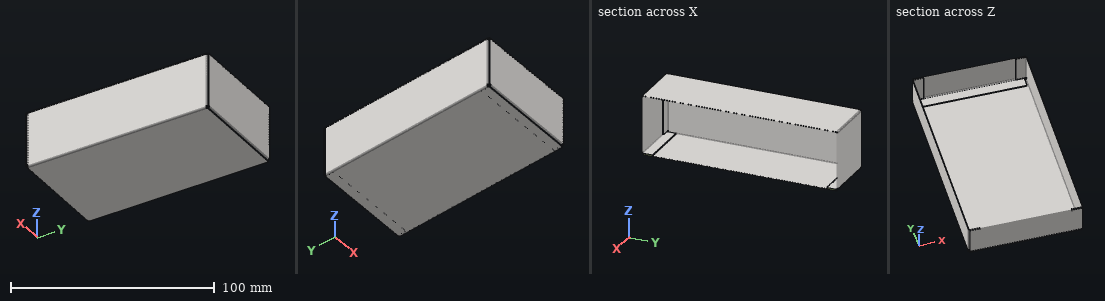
import cadquery as cq

width = 58.6
length = 105.6
height = 32.2

sheet = 0.58
bend_radius = 0.6
inner_radius = bend_radius - sheet

fold_reach = 5.3
clearance = 0.16
tab_top_gap = 1.0
lower_corner_gap = sheet + clearance + bend_radius

tab_setback = sheet + clearance
wall_setback = tab_setback + bend_radius


def box(x_size, y_size, z_size):
    return cq.Workplane("XY").box(x_size, y_size, z_size)


def sleeve(x_size, y_size, z_size, axis):
    """Open-ended rectangular tube along one axis, with bent sheet at its four corners."""
    sizes = {"X": x_size, "Y": y_size, "Z": z_size}
    bore_sizes = [size if name == axis else size - 2 * sheet for name, size in sizes.items()]
    outside = box(x_size, y_size, z_size).edges("|" + axis).fillet(bend_radius)
    bore = box(*bore_sizes).edges("|" + axis).fillet(inner_radius)
    return outside.cut(bore)


def make_main_sleeve():
    """Side walls, top and floor, bent along the edges that run end to end."""
    return sleeve(width, length - 2 * wall_setback, height, "Y")


def make_floor():
    """Flat floor that runs on under the lips, close to the end panels."""
    floor = box(width - 2 * bend_radius, length - 2 * tab_setback, sheet)
    return floor.translate((0, 0, (sheet - height) / 2))


def make_end_panels():
    """End panels hanging from the top, each with a lip folded inward that rests on the floor."""
    panel_width = width - 2 * bend_radius
    panel_height = height - sheet
    panel_bottom = -panel_height / 2
    panels = sleeve(panel_width, length, panel_height, "X")

    opening = box(width, length - 2 * (bend_radius + fold_reach), 2 * sheet)
    panels = panels.cut(opening.translate((0, 0, panel_bottom)))

    notch_width = lower_corner_gap - bend_radius
    notch = box(notch_width, length, 2 * bend_radius)
    notch_x = (panel_width - notch_width) / 2
    for side in (-1, 1):
        panels = panels.cut(notch.translate((side * notch_x, 0, panel_bottom)))

    return panels.translate((0, 0, sheet / 2))


def make_side_tabs():
    """Tabs bent inward from the side walls, just behind the end panels."""
    tab_height = height - tab_top_gap - lower_corner_gap
    tabs = sleeve(width, length - 2 * tab_setback, tab_height, "Z")
    opening = box(width - 2 * (bend_radius + fold_reach), length, height)
    return tabs.cut(opening).translate((0, 0, (lower_corner_gap - tab_top_gap) / 2))


result = make_main_sleeve().union(make_floor()).union(make_end_panels()).union(make_side_tabs())